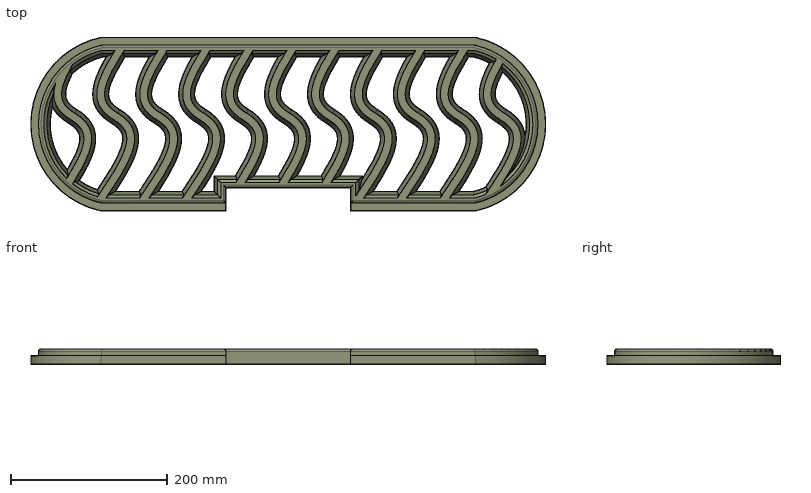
import cadquery as cq
import math

LENGTH = 659.0
WIDTH = 222.0
HEIGHT = 20.0
STRAIGHT_LENGTH = 480.0

FLANGE_THICKNESS = 11.0
FLANGE_WIDTH = 10.0
RIM_WIDTH = 10.0
RIM_EDGE_FILLET = 3.0
RIM_EDGE_CHAMFER = 3.0

NOTCH_WIDTH = 159.5
NOTCH_DEPTH = 29.5

DRAFT_ANGLE = 15.0
DRAFT_SPREAD = HEIGHT * math.tan(math.radians(DRAFT_ANGLE))

RIB_COUNT = 11
RIB_SPAN = 549.5
RIB_TOP_WIDTH = 10.0
RIB_CENTER = (-1.0, 10.0)
RIB_HALF_CURVE = [(0.0, 0.0), (32.0, -20.0), (24.5, -45.0), (-28.5, -118.5)]
RIB_STEPS = 8

END_RISE = (LENGTH - STRAIGHT_LENGTH) / 2
END_RADIUS = (END_RISE**2 + (WIDTH / 2) ** 2) / (2 * END_RISE)
END_CENTER_X = LENGTH / 2 - END_RADIUS


def outline(z, inset, notch_inset):
    """Notched plate outline at height z, moved inward from the flange edge and the notch edge."""
    half_width = WIDTH / 2 - inset
    radius = END_RADIUS - inset
    tip = END_CENTER_X + radius
    corner = END_CENTER_X + math.sqrt(radius**2 - half_width**2)
    notch_side = NOTCH_WIDTH / 2 + notch_inset
    notch_top = -WIDTH / 2 + NOTCH_DEPTH + notch_inset
    return (
        cq.Workplane("XY", origin=(0, 0, z))
        .moveTo(-notch_side, notch_top)
        .lineTo(notch_side, notch_top)
        .lineTo(notch_side, -half_width)
        .lineTo(corner, -half_width)
        .threePointArc((tip, 0), (corner, half_width))
        .lineTo(-corner, half_width)
        .threePointArc((-tip, 0), (-corner, -half_width))
        .lineTo(-notch_side, -half_width)
        .close()
    )


def loft_wires(lower, upper):
    return cq.Solid.makeLoft([lower.val(), upper.val()], True)


def opening():
    """Through opening with drafted walls and a chamfered top edge."""
    slope = math.radians(DRAFT_ANGLE)
    chamfer_z = HEIGHT - RIM_EDGE_CHAMFER * math.cos(slope)

    def wall(z, offset):
        return outline(z, FLANGE_WIDTH + RIM_WIDTH + offset, RIM_WIDTH + offset)

    chamfer_foot = RIM_EDGE_CHAMFER * math.sin(slope)
    drafted = loft_wires(wall(0, DRAFT_SPREAD), wall(chamfer_z, chamfer_foot))
    chamfer = loft_wires(wall(chamfer_z, chamfer_foot), wall(HEIGHT, -RIM_EDGE_CHAMFER))
    return cq.Workplane(drafted).union(cq.Workplane(chamfer))


def rib_half_point(t):
    """Point and unit normal on the lower half of a rib's centre line, t from 0 to 1."""
    p0, p1, p2, p3 = [cq.Vector(*p) for p in RIB_HALF_CURVE]
    s = 1 - t
    point = p0 * s**3 + p1 * (3 * s * s * t) + p2 * (3 * s * t * t) + p3 * t**3
    tangent = (p1 - p0) * (s * s) + (p2 - p1) * (2 * s * t) + (p3 - p2) * (t * t)
    normal = cq.Vector(-tangent.y, tangent.x).normalized()
    return point, normal


def rib_outline(z, half_width):
    """Closed outline of one rib at height z; its upper half is the lower one turned by 180 degrees."""
    samples = [rib_half_point(i / RIB_STEPS) for i in range(RIB_STEPS + 1)]

    def half_side(offset):
        return [point + normal * offset for point, normal in samples]

    left_lower = half_side(half_width)
    right_lower = half_side(-half_width)
    left_upper = [-p for p in right_lower]
    right_upper = [-p for p in left_lower]

    def flat(points):
        return [(p.x, p.y) for p in points]

    return (
        cq.Workplane("XY", origin=(*RIB_CENTER, z))
        .moveTo(left_upper[-1].x, left_upper[-1].y)
        .spline(flat(left_upper[-2::-1]), includeCurrent=True)
        .spline(flat(left_lower[1:]), includeCurrent=True)
        .lineTo(right_lower[-1].x, right_lower[-1].y)
        .spline(flat(right_lower[-2::-1]), includeCurrent=True)
        .spline(flat(right_upper[1:]), includeCurrent=True)
        .close()
    )


def ribs():
    """Row of equal ribs, trimmed to run into the rim."""
    half_top = RIB_TOP_WIDTH / 2
    rib = loft_wires(rib_outline(0, half_top + DRAFT_SPREAD), rib_outline(HEIGHT, half_top))
    trim_inset = RIM_EDGE_FILLET + (RIM_WIDTH - RIM_EDGE_FILLET - RIM_EDGE_CHAMFER) / 2
    trim = outline(0, FLANGE_WIDTH + trim_inset, trim_inset).extrude(HEIGHT)
    row = cq.Workplane()
    for i in range(RIB_COUNT):
        x = RIB_SPAN * (i / (RIB_COUNT - 1) - 0.5)
        row = row.add(trim.intersect(cq.Workplane(rib.translate(cq.Vector(x, 0, 0)))))
    return row


rim = outline(0, FLANGE_WIDTH, 0).extrude(HEIGHT).faces(">Z").edges().fillet(RIM_EDGE_FILLET)
flange = outline(0, 0, 0).extrude(FLANGE_THICKNESS)
result = flange.union(rim).cut(opening())
for rib in ribs().vals():
    result = result.union(cq.Workplane(rib))